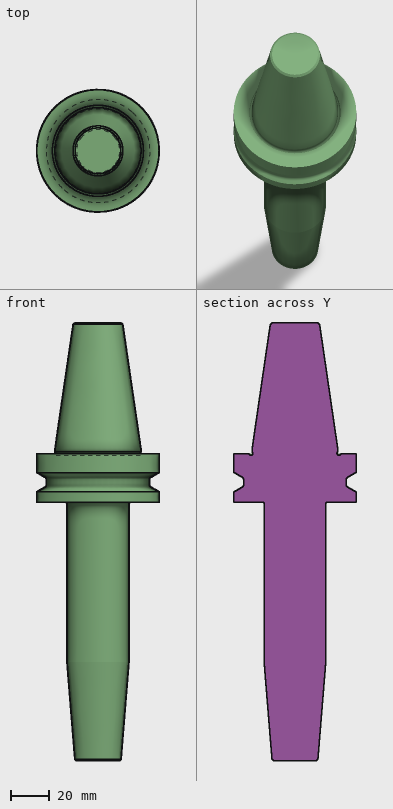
import cadquery as cq
import math


shank_top = 65.4
gauge_radius = 22.22
taper_slope = 7 / 48
shank_chamfer = 1.0
shank_top_radius = gauge_radius - shank_top * taper_slope

flange_radius = 31.5
flange_top = -2.0
flange_bottom = -27.0
body_fillet = 0.7

relief_radius = 23.5
relief_depth = 0.7
relief_start = -1.1

groove_center = -16.7
groove_root_radius = 26.5
groove_root_fillet = 0.7
groove_mouth = 10.0
groove_side_angle = math.radians(30)
groove_depth = flange_radius - groove_root_radius
groove_root_width = groove_mouth - 2 * groove_depth * math.tan(groove_side_angle)

body_radius = 16.0
nose_start = -109.0
overall_length = 225.5
nose_bottom = shank_top - overall_length
nose_radius = 12.0
nose_chamfer = 1.0


def turned_blank():
    """Revolve the half outline of shank, flange, body and nose."""
    relief_bottom = ((gauge_radius + relief_radius) / 2, flange_top - relief_depth)
    fillet_offset = body_fillet * (1 - math.sqrt(0.5))
    body_fillet_mid = (body_radius + fillet_offset, flange_bottom - fillet_offset)
    outline = (
        cq.Workplane("XZ")
        .moveTo(0, nose_bottom)
        .lineTo(nose_radius - nose_chamfer, nose_bottom)
        .lineTo(nose_radius, nose_bottom + nose_chamfer)
        .lineTo(body_radius, nose_start)
        .lineTo(body_radius, flange_bottom - body_fillet)
        .threePointArc(body_fillet_mid, (body_radius + body_fillet, flange_bottom))
        .lineTo(flange_radius, flange_bottom)
        .lineTo(flange_radius, flange_top)
        .lineTo(relief_radius, flange_top)
        .threePointArc(relief_bottom, (gauge_radius, relief_start))
        .lineTo(gauge_radius, 0)
        .lineTo(shank_top_radius + shank_chamfer * taper_slope, shank_top - shank_chamfer)
        .lineTo(shank_top_radius - shank_chamfer, shank_top)
        .lineTo(0, shank_top)
        .close()
    )
    return outline.revolve(360, (0, 0, 0), (0, 1, 0))


def gripper_groove():
    """Ring with a trapezoidal section that fills the flange groove, rounded at its root."""
    section = (
        cq.Workplane("XZ")
        .moveTo(groove_root_radius, groove_center - groove_root_width / 2)
        .lineTo(flange_radius, groove_center - groove_mouth / 2)
        .lineTo(flange_radius, groove_center + groove_mouth / 2)
        .lineTo(groove_root_radius, groove_center + groove_root_width / 2)
        .close()
    )
    ring = section.revolve(360, (0, 0, 0), (0, 1, 0))
    root_edges = cq.selectors.RadiusNthSelector(0)
    return ring.edges(root_edges).fillet(groove_root_fillet)


result = turned_blank().cut(gripper_groove())